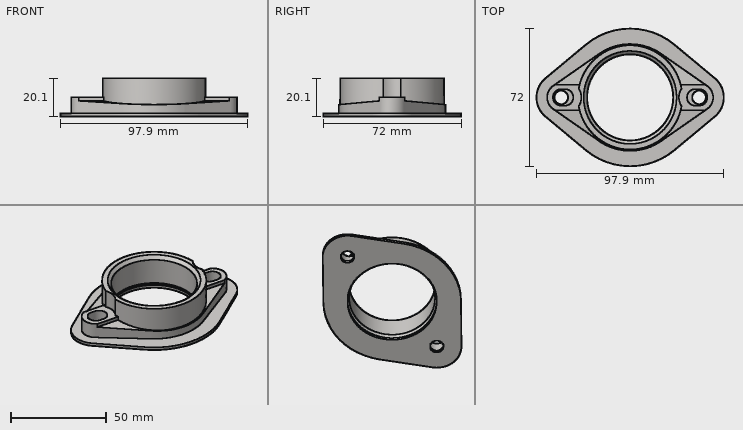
import cadquery as cq
import math

bolt_offset = 35.99

plate_length = 97.9
plate_width = 72.0
plate_thickness = 1.8
plate_end_radius = plate_length / 2 - bolt_offset
plate_bore_radius = 23.3
bolt_hole_radius = 3.5

total_height = 20.1
ring_radius = 27.2
ring_bore_radius = 22.4
mouth_radius = 24.3
mouth_depth = 2.0
web_radius = 27.9
lug_radius = 7.3
lug_top = 10.2
lug_half_width = 6.7
web_top_at_lug = 8.2
web_top_at_rim = 6.3

slot_radius = 4.3
slot_inner_offset = 34.0
scallop_radius = 8.5


def rounded_rhombus(middle_radius, end_radius, bottom, height):
    """Prism around a central circle and two end circles joined by common tangents."""
    normal_x = (middle_radius - end_radius) / bolt_offset
    normal_y = math.sqrt(1 - normal_x**2)
    middle_x = middle_radius * normal_x
    middle_y = middle_radius * normal_y
    end_x = bolt_offset + end_radius * normal_x
    end_y = end_radius * normal_y
    tip_x = bolt_offset + end_radius
    return (
        cq.Workplane("XY", origin=(0, 0, bottom))
        .moveTo(-middle_x, middle_y)
        .threePointArc((0, middle_radius), (middle_x, middle_y))
        .lineTo(end_x, end_y)
        .threePointArc((tip_x, 0), (end_x, -end_y))
        .lineTo(middle_x, -middle_y)
        .threePointArc((0, -middle_radius), (-middle_x, -middle_y))
        .lineTo(-end_x, -end_y)
        .threePointArc((-tip_x, 0), (-end_x, end_y))
        .close()
        .extrude(height)
    )


def cylinder(radius, bottom, top, x=0):
    return cq.Workplane("XY", origin=(x, 0, bottom)).circle(radius).extrude(top - bottom)


def make_plate():
    plate = rounded_rhombus(plate_width / 2, plate_end_radius, 0, plate_thickness)
    plate = plate.cut(cylinder(plate_bore_radius, 0, plate_thickness))
    for side in (-1, 1):
        plate = plate.cut(cylinder(bolt_hole_radius, 0, plate_thickness, side * bolt_offset))
    return plate


def make_web():
    """Flange base whose top steps down beside the lugs and slopes away to the rim."""
    outline = rounded_rhombus(web_radius, lug_radius, plate_thickness, lug_top - plate_thickness)
    profile = (
        cq.Workplane("YZ")
        .polyline([
            (-web_radius, plate_thickness),
            (web_radius, plate_thickness),
            (web_radius, web_top_at_rim),
            (lug_half_width, web_top_at_lug),
            (lug_half_width, lug_top),
            (-lug_half_width, lug_top),
            (-lug_half_width, web_top_at_lug),
            (-web_radius, web_top_at_rim),
        ])
        .close()
        .extrude(plate_length / 2, both=True)
    )
    return outline.intersect(profile)


def make_bore():
    """Cutter for the ring bore with the same chamfer at both ends."""
    return (
        cq.Workplane("XZ")
        .polyline([
            (0, plate_thickness),
            (mouth_radius, plate_thickness),
            (ring_bore_radius, plate_thickness + mouth_depth),
            (ring_bore_radius, total_height - mouth_depth),
            (mouth_radius, total_height),
            (0, total_height),
        ])
        .close()
        .revolve(360, (0, 0, 0), (0, 1, 0))
    )


def make_slot(side):
    slot_length = bolt_offset - slot_inner_offset + 2 * slot_radius
    slot_center = side * (bolt_offset + slot_inner_offset) / 2
    return (
        cq.Workplane("XY", origin=(slot_center, 0, plate_thickness))
        .slot2D(slot_length, 2 * slot_radius)
        .extrude(lug_top - plate_thickness)
    )


def make_flange():
    flange = make_web().union(cylinder(ring_radius, plate_thickness, total_height))
    flange = flange.cut(make_bore())
    for side in (-1, 1):
        flange = flange.cut(make_slot(side))
        flange = flange.cut(
            cylinder(scallop_radius, lug_top, total_height, side * slot_inner_offset)
        )
    return flange


plate = make_plate()
flange = make_flange()
result = cq.Compound.makeCompound([plate.val(), flange.val()])